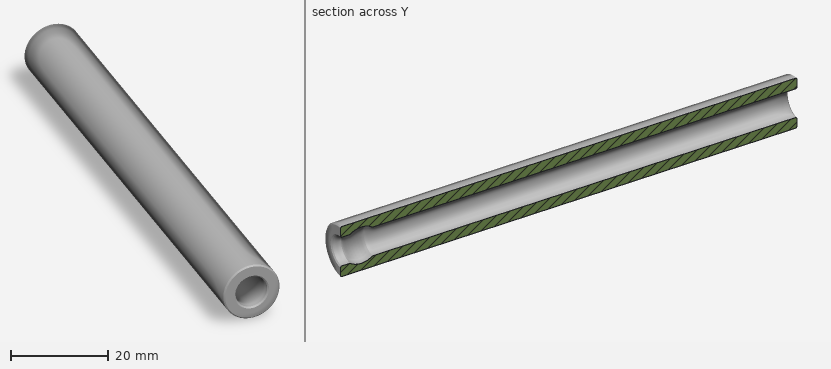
import cadquery as cq
import math

length = 109.4
outer_diameter = 12.5
bore_diameter = 7.0
outer_chamfer = 0.3
mouth_chamfer = 0.3
ball_diameter = 8.9
ball_depth = 5.0

half_length = length / 2
bore_radius = bore_diameter / 2
ball_radius = ball_diameter / 2
mouth_radius = bore_radius + mouth_chamfer
ball_center_x = ball_depth - half_length
ball_half_opening = math.sqrt(ball_radius**2 - bore_radius**2)


def make_rod():
    """Solid rod along X, centred on the origin, with chamfered outer rims."""
    rod = cq.Workplane("YZ", origin=(-half_length, 0, 0)).circle(outer_diameter / 2).extrude(length)
    return rod.faces("<X or >X").edges().chamfer(outer_chamfer)


def make_bore():
    """Through bore with chamfered mouths and a ball pocket just inside the -X end."""
    half_profile = (
        cq.Workplane("XY")
        .moveTo(-half_length, 0)
        .lineTo(-half_length, mouth_radius)
        .lineTo(-half_length + mouth_chamfer, bore_radius)
        .lineTo(ball_center_x - ball_half_opening, bore_radius)
        .threePointArc((ball_center_x, ball_radius), (ball_center_x + ball_half_opening, bore_radius))
        .lineTo(half_length - mouth_chamfer, bore_radius)
        .lineTo(half_length, mouth_radius)
        .lineTo(half_length, 0)
        .close()
    )
    return half_profile.revolve(360, (0, 0, 0), (1, 0, 0))


result = make_rod().cut(make_bore())